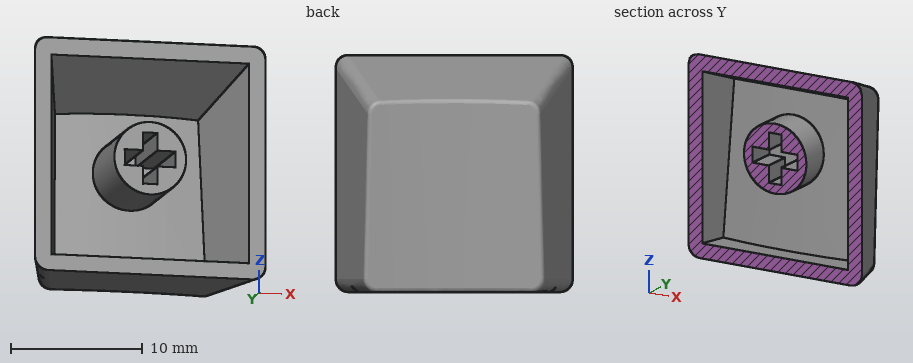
import cadquery as cq
import math

BASE_SIZE = 18.0
HALF_BASE = BASE_SIZE / 2
WALL = 1.25
SIDE_ANGLE = 15.5
UPPER_ANGLE = 21.6
CORNER_RADIUS = 1.0
RIM_RADIUS = 0.32

DISH_RADIUS = 45.0
DISH_ANGLE = 5.2
DISH_HEIGHT = 8.15

STEM_DIAMETER = 5.6
CROSS_SPAN = 3.96
CROSS_BAR_X = 1.22
CROSS_BAR_Z = 1.1

BLANK_HEIGHT = 10.8
DISH_LENGTH = 54.0


def tapered_block(inset):
    """Block with its walls moved inward by inset, measured square to each wall."""
    side_slope = math.tan(math.radians(SIDE_ANGLE))
    upper_slope = math.tan(math.radians(UPPER_ANGLE))
    half_width = HALF_BASE - inset / math.cos(math.radians(SIDE_ANGLE))
    upper = HALF_BASE - inset / math.cos(math.radians(UPPER_ANGLE))
    lower = -HALF_BASE + inset

    def section(y):
        half = half_width - y * side_slope
        top = upper - y * upper_slope
        corners = [(-half, lower), (half, lower), (half, top), (-half, top)]
        return cq.Wire.makePolygon([cq.Vector(x, y, z) for x, z in corners], close=True)

    return cq.Workplane(obj=cq.Solid.makeLoft([section(0), section(BLANK_HEIGHT)], True))


def dish_cylinder(depth):
    """Cylinder concentric with the dish, reaching depth below its surface."""
    tilt = math.radians(DISH_ANGLE)
    direction = cq.Vector(0, math.sin(tilt), math.cos(tilt))
    upward = cq.Vector(0, math.cos(tilt), -math.sin(tilt))
    center = cq.Vector(0, DISH_HEIGHT, 0) + upward * DISH_RADIUS
    start = center - direction * (DISH_LENGTH / 2)
    return cq.Solid.makeCylinder(DISH_RADIUS + depth, DISH_LENGTH, start, direction)


def outer_body():
    """Solid cap with rounded corners, a dished top and a rounded rim."""
    blank = tapered_block(0)
    corner_edges = blank.edges("not(<Y or >Y)")
    body = corner_edges.fillet(CORNER_RADIUS).cut(dish_cylinder(0))
    dish_face = body.faces(">Y")
    return dish_face.edges().fillet(RIM_RADIUS)


def cavity():
    """Sharp-cornered hollow that leaves an even wall all round."""
    return tapered_block(WALL).cut(dish_cylinder(WALL))


def stem_solid():
    """Round post with a cross-shaped socket, flush with the open underside."""
    stem = cq.Workplane("XZ").circle(STEM_DIAMETER / 2).extrude(-BLANK_HEIGHT)
    bar_x = cq.Workplane("XZ").rect(CROSS_SPAN, CROSS_BAR_X).extrude(-BLANK_HEIGHT)
    bar_z = cq.Workplane("XZ").rect(CROSS_BAR_Z, CROSS_SPAN).extrude(-BLANK_HEIGHT)
    return stem.cut(bar_x).cut(bar_z)


inside = cavity()
result = outer_body().cut(inside).union(stem_solid().intersect(inside))